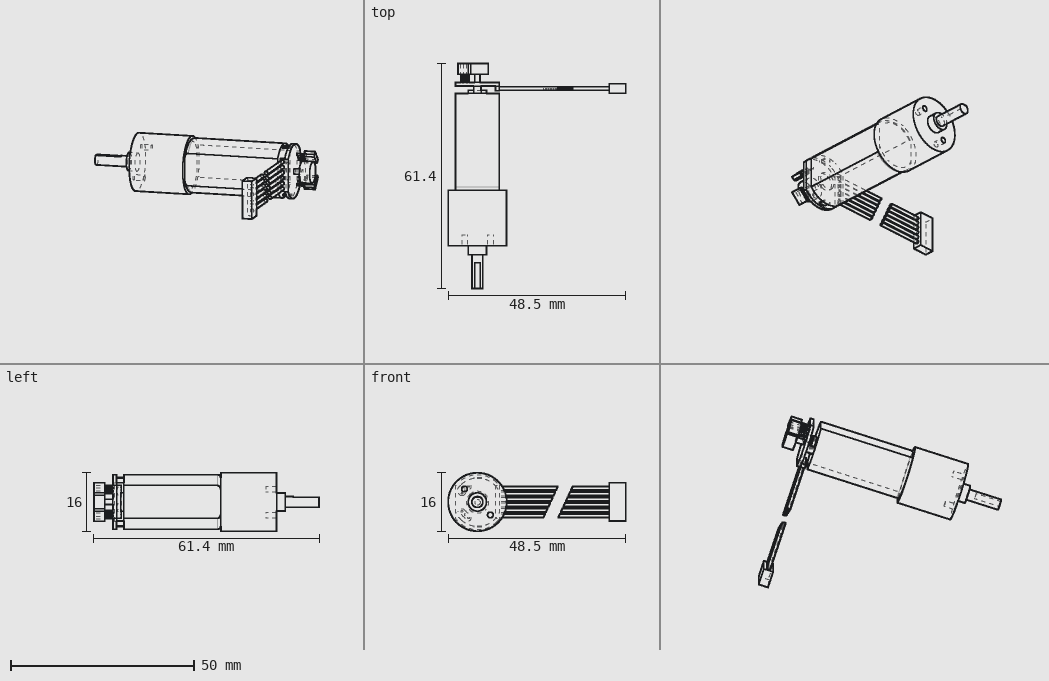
import cadquery as cq
import math


gearbox_diameter = 16.0
gearbox_length = 15.2
boss_diameter = 5.0
front_boss_length = 2.4
shaft_diameter = 3.0
shaft_reach = 11.61
shaft_flat_length = 7.0
shaft_flat_height = 1.3
mount_hole_diameter = 1.57
mount_hole_radius = 5.0
mount_hole_depth = 3.0
mount_hole_angles = (135, 315)

can_diameter = 15.0
can_width = 12.0
can_length = 26.4
can_edge_radius = 0.9
rear_boss_length = 0.9

board_gap = 2.0
board_thickness = 1.0
terminal_width = 2.0
terminal_thickness = 0.3
terminal_offset = 6.65

rear_shaft_diameter = 1.5
magnet_diameter = 6.0
magnet_length = 3.0
magnet_gap = 2.2
sensor_width = 4.0
sensor_inner = 4.01
sensor_thickness = 1.5
sensor_chamfer = 0.53
sensor_angles = (135, 225)
pin_diameter = 0.5
pin_pitch = 1.27
pin_count = 3
pin_radius = sensor_inner + sensor_thickness / 2

wire_diameter = 1.0
wire_pitch = 1.5
wire_count = 6
socket_width = 1.1
socket_depth = 1.3
socket_height = wire_count * wire_pitch
plug_length = 4.6
plug_depth = 2.7
plug_height = 10.5
plug_end_x = 40.5
cable_gap_x = 22.0
cable_gap_length = 4.0
cable_cut_angle = 25.0

can_front_y = gearbox_length
can_rear_y = can_front_y + can_length
board_front_y = can_rear_y + board_gap
board_rear_y = board_front_y + board_thickness
magnet_front_y = board_rear_y + magnet_gap
magnet_rear_y = magnet_front_y + magnet_length
wire_y = board_front_y - socket_depth / 2

socket_outer_x = can_width / 2
plug_inner_x = plug_end_x - plug_length


def rod(diameter, start_y, end_y, x=0, z=0):
    """Round bar parallel to Y."""
    length = end_y - start_y
    return cq.Workplane(cq.Solid.makeCylinder(
        diameter / 2, length, cq.Vector(x, start_y, z), cq.Vector(0, 1, 0)))


def block(x_range, y_range, z_range):
    """Box between the given limits on each axis."""
    sizes = [high - low for low, high in (x_range, y_range, z_range)]
    corner = (x_range[0], y_range[0], z_range[0])
    return cq.Workplane("XY").box(*sizes, centered=False).translate(corner)


def centered_range(size, middle=0):
    return (middle - size / 2, middle + size / 2)


def polar(radius, angle):
    """X and Z of a point around the motor axis."""
    turn = math.radians(angle)
    return (radius * math.cos(turn), radius * math.sin(turn))


def trim_to_can_width(body):
    """Cut the two side flats of the can."""
    span = centered_range(can_diameter)
    return body.intersect(block(centered_range(can_width), (can_front_y, board_rear_y), span))


def make_output_shaft():
    shaft = rod(shaft_diameter, -shaft_reach, 0)
    flat_cut = block(
        centered_range(shaft_diameter),
        (-shaft_reach, -shaft_reach + shaft_flat_length),
        (shaft_flat_height, shaft_diameter),
    )
    return shaft.cut(flat_cut)


def make_gearbox():
    gearbox = rod(gearbox_diameter, 0, gearbox_length)
    for angle in mount_hole_angles:
        hole_x, hole_z = polar(mount_hole_radius, angle)
        gearbox = gearbox.cut(rod(mount_hole_diameter, 0, mount_hole_depth, hole_x, hole_z))
    return gearbox.union(rod(boss_diameter, -front_boss_length, 0)).union(make_output_shaft())


def make_can():
    can = rod(can_diameter, can_front_y, can_rear_y).faces("<Y").edges().fillet(can_edge_radius)
    return trim_to_can_width(can).union(rod(boss_diameter, can_rear_y, can_rear_y + rear_boss_length))


def make_board():
    board = trim_to_can_width(rod(can_diameter, board_front_y, board_rear_y))
    for side in (-1, 1):
        board = board.union(block(
            centered_range(terminal_width),
            (can_rear_y, board_front_y),
            centered_range(terminal_thickness, side * terminal_offset),
        ))
    return board


def make_sensor(angle):
    """Hall sensor with its row of pins, facing the magnet at the given angle."""
    sensor = block(
        (sensor_inner, sensor_inner + sensor_thickness),
        (magnet_front_y, magnet_rear_y),
        centered_range(sensor_width),
    )
    sensor = sensor.faces("<X").edges("|Y").chamfer(sensor_chamfer)
    for index in range(pin_count):
        pin_z = (index - (pin_count - 1) / 2) * pin_pitch
        sensor = sensor.union(rod(pin_diameter, board_rear_y, magnet_front_y, pin_radius, pin_z))
    return sensor.rotate((0, 0, 0), (0, 1, 0), -angle)


def make_encoder():
    encoder = rod(rear_shaft_diameter, board_rear_y, magnet_front_y)
    encoder = encoder.union(rod(magnet_diameter, magnet_front_y, magnet_rear_y))
    return encoder.union(make_board())


def make_wire(fixed_x, cut_x, z):
    """Wire along X from its fixed end to an end face that leans with the cable cut."""
    lean = math.tan(math.radians(cable_cut_angle))
    bottom_z, top_z = centered_range(wire_diameter, z)
    side_outline = [
        (fixed_x, bottom_z),
        (cut_x + bottom_z * lean, bottom_z),
        (cut_x + top_z * lean, top_z),
        (fixed_x, top_z),
    ]
    envelope = (
        cq.Workplane("XZ", origin=(0, wire_y, 0))
        .polyline(side_outline)
        .close()
        .extrude(wire_diameter / 2, both=True)
    )
    wire = cq.Workplane("YZ", origin=(socket_outer_x, wire_y, z)).circle(wire_diameter / 2)
    return wire.extrude(plug_inner_x - socket_outer_x).intersect(envelope)


def add_wires(body, fixed_x, cut_x):
    """Join the row of wires to the body that holds them."""
    for index in range(wire_count):
        z = (index - (wire_count - 1) / 2) * wire_pitch
        body = body.union(make_wire(fixed_x, cut_x, z))
    return body


def make_socket():
    return block(
        (socket_outer_x - socket_width, socket_outer_x),
        (board_front_y - socket_depth, board_front_y),
        centered_range(socket_height),
    )


def make_motor():
    motor = make_gearbox().union(make_can()).union(make_encoder())
    for angle in sensor_angles:
        motor = motor.union(make_sensor(angle))
    return add_wires(motor.union(make_socket()), socket_outer_x, cable_gap_x - cable_gap_length / 2)


def make_plug():
    plug = block(
        (plug_inner_x, plug_end_x),
        centered_range(plug_depth, wire_y),
        centered_range(plug_height),
    )
    return add_wires(plug, plug_inner_x, cable_gap_x + cable_gap_length / 2)


motor = make_motor().solids()
plug = make_plug().solids()

result = cq.Compound.makeCompound([motor.val(), plug.val()])